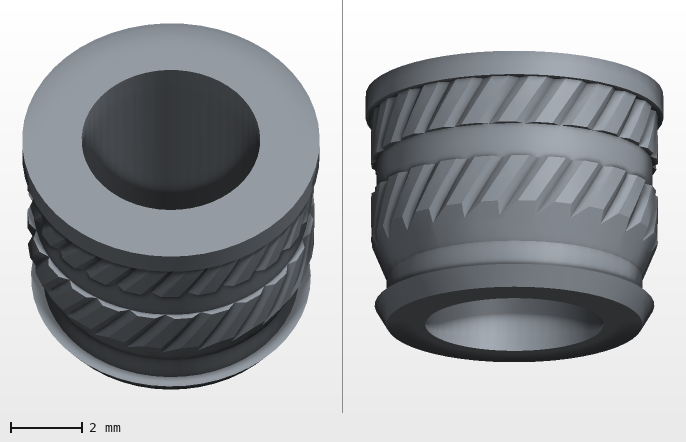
import cadquery as cq
import math

TOTAL_HEIGHT = 6.73
FLANGE_BOTTOM = 6.05
UPPER_KNURL_BOTTOM = 4.71
LOWER_KNURL_TOP = 3.72
TAPER_TOP = 2.4
TAPER_BOTTOM = 1.35
LIP_TOP = 0.57

FLANGE_RADIUS = 4.165
KNURL_RADIUS = 4.015
WAIST_RADIUS = 3.86
NECK_RADIUS = 3.58
LIP_RADIUS = 3.915
BORE_RADIUS = 2.5

GROOVE_COUNT = 24
GROOVE_PITCH = 360 / GROOVE_COUNT
GROOVE_WIDTH = 7.9
GROOVE_ROOT_RADIUS = WAIST_RADIUS
TWIST_PER_UNIT = 9.484
GROOVE_START_ANGLE = -90


def polar(radius, angle):
    """Point at a radius and an angle in degrees around the axis."""
    turn = math.radians(angle)
    return (radius * math.cos(turn), radius * math.sin(turn))


def knurl_band(bottom, top):
    """Cylindrical band with helical V grooves between two heights."""
    half_width = GROOVE_WIDTH / 2
    height = top - bottom
    first_root_angle = GROOVE_START_ANGLE + TWIST_PER_UNIT * (bottom - TAPER_BOTTOM)
    outline = cq.Workplane("XY").workplane(offset=bottom)
    outline = outline.moveTo(*polar(KNURL_RADIUS, first_root_angle - half_width))
    for index in range(GROOVE_COUNT):
        root_angle = first_root_angle + index * GROOVE_PITCH
        outline = outline.lineTo(*polar(GROOVE_ROOT_RADIUS, root_angle))
        outline = outline.lineTo(*polar(KNURL_RADIUS, root_angle + half_width))
        outline = outline.threePointArc(
            polar(KNURL_RADIUS, root_angle + GROOVE_PITCH / 2),
            polar(KNURL_RADIUS, root_angle + GROOVE_PITCH - half_width),
        )
    return outline.close().twistExtrude(height, TWIST_PER_UNIT * height)


def turned(points):
    """Solid of revolution about Z from (radius, height) points."""
    return cq.Workplane("XZ").polyline(points).close().revolve(360, (0, 0), (0, 1))


upper_knurl = knurl_band(UPPER_KNURL_BOTTOM, FLANGE_BOTTOM)

taper_slope = (KNURL_RADIUS - NECK_RADIUS) / (TAPER_TOP - TAPER_BOTTOM)
cone_top_radius = NECK_RADIUS + taper_slope * (LOWER_KNURL_TOP - TAPER_BOTTOM)
taper_cone = turned([
    (0, TAPER_BOTTOM),
    (NECK_RADIUS, TAPER_BOTTOM),
    (cone_top_radius, LOWER_KNURL_TOP),
    (0, LOWER_KNURL_TOP),
])
lower_knurl = knurl_band(TAPER_BOTTOM, LOWER_KNURL_TOP).intersect(taper_cone)

waist = (
    cq.Workplane("XY")
    .workplane(offset=LOWER_KNURL_TOP)
    .circle(WAIST_RADIUS)
    .extrude(UPPER_KNURL_BOTTOM - LOWER_KNURL_TOP)
)

lip_and_neck = turned([
    (0, 0),
    (NECK_RADIUS, 0),
    (LIP_RADIUS, LIP_TOP),
    (NECK_RADIUS, LIP_TOP),
    (NECK_RADIUS, TAPER_BOTTOM),
    (0, TAPER_BOTTOM),
])

flange = (
    cq.Workplane("XY")
    .workplane(offset=FLANGE_BOTTOM)
    .circle(FLANGE_RADIUS)
    .extrude(TOTAL_HEIGHT - FLANGE_BOTTOM)
)

bore = cq.Workplane("XY").circle(BORE_RADIUS).extrude(TOTAL_HEIGHT)

result = lip_and_neck
for section in (lower_knurl, waist, upper_knurl, flange):
    result = result.union(section)
result = result.cut(bore)